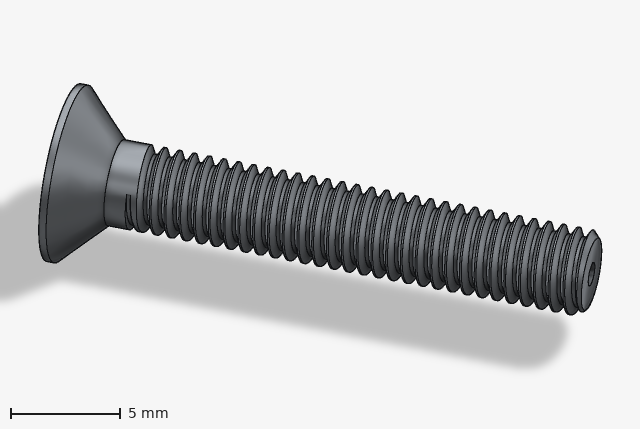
import cadquery as cq
import math

total_length = 25.0
head_diameter = 8.25
head_rim_height = 0.35
thread_diameter = 4.0
tip_chamfer = 0.32
cone_angle = 45.0

pitch = 0.7
full_depth_turns = 30
flank_half_angle = 30.0
full_depth_x = 3.8
runout_sweep = 120.0

socket_across_flats = 2.5
socket_depth = 1.0
bore_diameter = 1.08

head_radius = head_diameter / 2
thread_radius = thread_diameter / 2
head_height = head_rim_height + (head_radius - thread_radius) / math.tan(math.radians(cone_angle))

flank_slope = math.tan(math.radians(flank_half_angle))
triangle_height = pitch / (2 * flank_slope)
thread_depth = 5 / 8 * triangle_height
root_radius = thread_radius - thread_depth
root_width = pitch / 4
cutter_margin = 0.05
cutter_height = thread_depth + cutter_margin
cutter_top_width = root_width + 2 * cutter_height * flank_slope


def screw_blank():
    """Head, shank and chamfered tip as one revolved body."""
    profile = [
        (0, 0),
        (0, head_radius),
        (head_rim_height, head_radius),
        (head_height, thread_radius),
        (total_length - tip_chamfer, thread_radius),
        (total_length, thread_radius - tip_chamfer),
        (total_length, 0),
    ]
    return cq.Workplane("XY").polyline(profile).close().revolve(360, (0, 0, 0), (1, 0, 0))


def groove_section(floor_radius, centre):
    """Corners of the groove section in an axial plane, as (radius, axial place)."""
    top_radius = floor_radius + cutter_height
    return [
        (floor_radius, centre - root_width / 2),
        (floor_radius, centre + root_width / 2),
        (top_radius, centre + cutter_top_width / 2),
        (top_radius, centre - cutter_top_width / 2),
    ]


def helix_through(radius, axial, sweep, rise):
    """Right-handed helix about +Z from (radius, 0, axial), widening by rise over its length."""
    height = pitch * sweep / 360
    origin = cq.Vector(0, 0, axial)
    if rise == 0:
        return cq.Wire.makeHelix(pitch, height, radius, origin)
    half_angle = math.atan2(rise, height)
    slope_factor = 1 / math.cos(half_angle)
    return cq.Wire.makeHelix(
        pitch * slope_factor, height * slope_factor, radius, origin, angle=math.degrees(half_angle)
    )


def groove_cutter(sweep, centre, start_floor_radius, end_floor_radius):
    """Helical solid about +Z, bounded by ruled faces between its corner helices."""
    rise = end_floor_radius - start_floor_radius
    corners = groove_section(start_floor_radius, centre)
    spines = [helix_through(radius, axial, sweep, rise) for radius, axial in corners]
    faces = [cq.Face.makeRuledSurface(spines[index - 1], spine) for index, spine in enumerate(spines)]
    for place in (0, 1):
        end_points = [spine.positionAt(place) for spine in spines]
        faces.append(cq.Face.makeFromWires(cq.Wire.makePolygon(end_points, close=True)))
    return cq.Solid.makeSolid(cq.Shell.makeShell(faces)).fix()


def along_screw(cutter, start_angle):
    """Turn a cutter about +Z to start start_angle past the -Z side, with its axis along +X."""
    about_z = cutter.rotate(cq.Vector(0, 0, 0), cq.Vector(0, 0, 1), start_angle)
    return about_z.rotate(cq.Vector(0, 0, 0), cq.Vector(0, 1, 0), 90)


def full_groove_turns():
    """Full-depth groove, as one-turn cutters set end to end up to the tip."""
    turn = along_screw(groove_cutter(360, full_depth_x, root_radius, root_radius), 0)
    return [turn.translate(cq.Vector(index * pitch, 0, 0)) for index in range(full_depth_turns)]


def entry_groove():
    """Start of the groove, deepening from the shank surface to full depth on the -Z side."""
    start_x = full_depth_x - pitch * runout_sweep / 360
    cutter = groove_cutter(runout_sweep, start_x, thread_radius, root_radius)
    return along_screw(cutter, -runout_sweep)


def exit_groove():
    """End of the groove, fading from full depth on the -Z side out to the thread surface."""
    start_x = full_depth_x + pitch * full_depth_turns
    cutter = groove_cutter(runout_sweep, start_x, root_radius, thread_radius)
    return along_screw(cutter, 0)


def drive_socket():
    """Hexagonal recess in the head face, with corners toward +Z and -Z."""
    across_corners = socket_across_flats / math.cos(math.radians(30))
    hexagon = cq.Workplane("YZ").polygon(6, across_corners).extrude(socket_depth)
    return hexagon.rotate((0, 0, 0), (1, 0, 0), 90)


def bore():
    """Round hole through the whole length."""
    return cq.Workplane("YZ").circle(bore_diameter / 2).extrude(total_length)


body = screw_blank().cut(drive_socket()).cut(bore())
threaded = body.val().cut(entry_groove(), *full_groove_turns(), exit_groove())
result = cq.Workplane(threaded.Solids()[0])